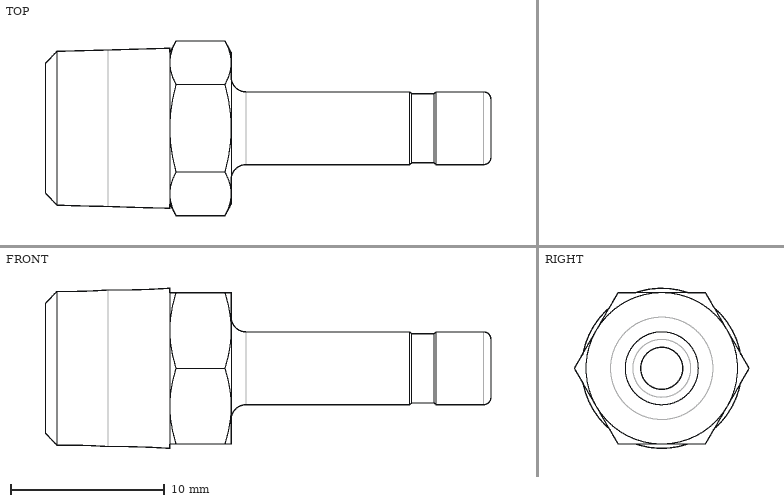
import cadquery as cq
import math

length = 29.1

body_end = 8.12
body_middle = 4.07
nose_length = 0.75
nose_radius = 4.25
body_start_radius = 5.03
body_middle_radius = 5.12
body_end_radius = 5.25

hex_end = 12.13
hex_flats = 9.9
hex_corners = hex_flats / math.cos(math.pi / 6)
hex_face_radius = 4.95
hex_bevel = 0.4

stem_radius = 2.4
flare = 0.95
groove_start = 23.92
groove_end = 25.38
groove_radius = 2.27
groove_bevel = 0.15
tip_rounding = 0.5

bore_radius = 1.37
wide_bore_radius = 2.53
wide_bore_depth = body_end
drill_half_angle = math.radians(59)


def revolve_x(profile):
    """Turn a closed XY profile around the X axis."""
    return profile.close().revolve(360, (0, 0, 0), (1, 0, 0))


def thread_body():
    return revolve_x(
        cq.Workplane("XY")
        .lineTo(0, nose_radius)
        .lineTo(nose_length, body_start_radius)
        .lineTo(body_middle, body_middle_radius)
        .lineTo(body_end, body_end_radius)
        .lineTo(body_end, 0)
    )


def hexagon():
    """Hexagonal collar whose corners are turned off conically at both ends."""
    prism = (
        cq.Workplane("YZ", origin=(body_end, 0, 0))
        .polygon(6, hex_corners)
        .extrude(hex_end - body_end)
    )
    corner_radius = hex_corners / 2
    bevels = revolve_x(
        cq.Workplane("XY")
        .moveTo(body_end, 0)
        .lineTo(body_end, hex_face_radius)
        .lineTo(body_end + hex_bevel, corner_radius)
        .lineTo(hex_end - hex_bevel, corner_radius)
        .lineTo(hex_end, hex_face_radius)
        .lineTo(hex_end, 0)
    )
    return prism.intersect(bevels)


def stem():
    flare_mid = flare * (1 - math.sqrt(0.5))
    tip_mid = tip_rounding * (1 - math.sqrt(0.5))
    return revolve_x(
        cq.Workplane("XY")
        .moveTo(hex_end, 0)
        .lineTo(hex_end, stem_radius + flare)
        .threePointArc(
            (hex_end + flare_mid, stem_radius + flare_mid),
            (hex_end + flare, stem_radius),
        )
        .lineTo(groove_start - groove_bevel, stem_radius)
        .lineTo(groove_start, groove_radius)
        .lineTo(groove_end, groove_radius)
        .lineTo(groove_end + groove_bevel, stem_radius)
        .lineTo(length - tip_rounding, stem_radius)
        .threePointArc(
            (length - tip_mid, stem_radius - tip_mid),
            (length, stem_radius - tip_rounding),
        )
        .lineTo(length, 0)
    )


def bore():
    cone_length = (wide_bore_radius - bore_radius) / math.tan(drill_half_angle)
    return revolve_x(
        cq.Workplane("XY")
        .lineTo(0, wide_bore_radius)
        .lineTo(wide_bore_depth, wide_bore_radius)
        .lineTo(wide_bore_depth + cone_length, bore_radius)
        .lineTo(length, bore_radius)
        .lineTo(length, 0)
    )


result = thread_body().union(hexagon()).union(stem()).cut(bore())